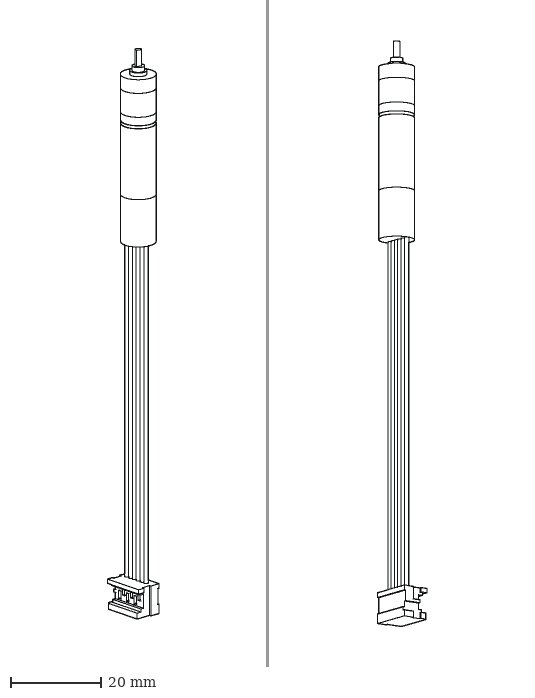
import cadquery as cq

total_height = 131.24
connector_height = 7.0

shaft_diameter = 1.5
shaft_flat_offset = 0.45
bearing_diameter = 2.8
collar_diameter = 3.8
bearing_top = total_height - 3.8
collar_top = total_height - 4.9
motor_top = total_height - 5.75

motor_diameter = 8.0
section_diameter = 7.96
groove_diameter = 7.8
gearhead_cap_length = 3.2
gearhead_length = 5.6
adapter_length = 2.0
groove_length = 0.7
motor_length = 16.6
encoder_length = 11.1
motor_bottom = motor_top - (
    gearhead_cap_length + gearhead_length + adapter_length + groove_length + motor_length + encoder_length
)

wire_count = 6
wire_pitch = 1.25
wire_diameter = 1.0
wire_row_x = -0.35
wire_row_y = -0.2

connector_angle = 22.5
housing_width = 10.2
housing_back = 1.58
housing_front = -4.65
web_front = -2.7
bottom_step_front = -3.5
top_step_front = -3.8
bottom_plate_top = 1.4
bottom_step_top = 2.1
top_step_bottom = 5.4
top_plate_bottom = 6.0
plate_corner_chamfer = 0.4

back_step_depth = 0.35
back_step_bottom = 2.2
back_step_top = 5.9

end_recess_depth = 0.5
waist_top = 3.5
end_rib_top = 4.2
end_notch_back = -0.9
end_notch_front = -3.0

slot_width = 0.7
slot_depth = 1.6
low_slot_bottom = 2.4
high_slot_bottom = 3.5
slot_height = 1.9


def cylinder(diameter, bottom, top):
    return cq.Workplane("XY").workplane(offset=bottom).circle(diameter / 2).extrude(top - bottom)


def block(x_min, x_max, y_min, y_max, z_min, z_max):
    size = (x_max - x_min, y_max - y_min, z_max - z_min)
    return cq.Workplane("XY").box(*size, centered=False).translate((x_min, y_min, z_min))


def make_shaft():
    radius = shaft_diameter / 2
    shaft = cylinder(shaft_diameter, motor_top, total_height)
    flat = block(shaft_flat_offset, radius, -radius, radius, bearing_top, total_height)
    bearing = cylinder(bearing_diameter, motor_top, bearing_top)
    collar = cylinder(collar_diameter, motor_top, collar_top)
    return shaft.cut(flat).union(bearing).union(collar)


def make_motor():
    sections = [
        (motor_diameter, gearhead_cap_length),
        (section_diameter, gearhead_length),
        (motor_diameter, adapter_length),
        (groove_diameter, groove_length),
        (motor_diameter, motor_length),
        (section_diameter, encoder_length),
    ]
    top = motor_top
    body = None
    for diameter, length in sections:
        section = cylinder(diameter, top - length, top)
        body = section if body is None else body.union(section)
        top -= length
    return body


def row_position(index):
    return (index - (wire_count - 1) / 2) * wire_pitch


def make_wires():
    centres = [(row_position(i) + wire_row_x, wire_row_y) for i in range(wire_count)]
    return (
        cq.Workplane("XY")
        .workplane(offset=connector_height)
        .pushPoints(centres)
        .circle(wire_diameter / 2)
        .extrude(motor_bottom - connector_height)
    )


def make_housing():
    profile = [
        (housing_back, 0),
        (housing_front, 0),
        (housing_front, bottom_plate_top),
        (bottom_step_front, bottom_plate_top),
        (bottom_step_front, bottom_step_top),
        (web_front, bottom_step_top),
        (web_front, top_step_bottom),
        (top_step_front, top_step_bottom),
        (top_step_front, top_plate_bottom),
        (housing_front, top_plate_bottom),
        (housing_front, connector_height),
        (housing_back, connector_height),
    ]
    housing = cq.Workplane("YZ").polyline(profile).close().extrude(housing_width / 2, both=True)
    bottom_left_corner = housing.faces("<X").edges("|Z and <Y").edges("<Z")
    return bottom_left_corner.chamfer(plate_corner_chamfer)


def cut_back_step(housing):
    half = housing_width / 2
    step_floor = housing_back - back_step_depth
    return housing.cut(block(-half, half, step_floor, housing_back, back_step_bottom, back_step_top))


def cut_left_end(housing):
    outer = -housing_width / 2
    inner = outer + end_recess_depth
    waist = block(outer, inner, housing_front, housing_back, bottom_plate_top, waist_top)
    pocket = block(outer, inner, top_step_front, end_notch_back, end_rib_top, top_plate_bottom)
    top_notch = block(outer, inner, end_notch_front, end_notch_back, end_rib_top, connector_height)
    bottom_notch = block(outer, inner, end_notch_front, end_notch_back, 0, bottom_plate_top)
    return housing.cut(waist).cut(pocket).cut(top_notch).cut(bottom_notch)


def cut_right_end(housing):
    outer = housing_width / 2
    inner = outer - end_recess_depth
    pocket = block(inner, outer, housing_front, end_notch_back, 0, top_plate_bottom)
    notch = block(inner, outer, end_notch_front, end_notch_back, top_plate_bottom, connector_height)
    return housing.cut(pocket).cut(notch)


def cut_contact_slots(housing):
    for i in range(wire_count):
        left = row_position(i) - slot_width / 2
        bottom = low_slot_bottom if i % 2 == 0 else high_slot_bottom
        slot = block(
            left, left + slot_width, web_front, web_front + slot_depth, bottom, bottom + slot_height
        )
        housing = housing.cut(slot)
    return housing


def make_connector():
    housing = make_housing()
    for cut_feature in (cut_back_step, cut_left_end, cut_right_end, cut_contact_slots):
        housing = cut_feature(housing)
    return housing


harness = make_connector().union(make_wires()).rotate((0, 0, 0), (0, 0, 1), connector_angle)
result = make_motor().union(make_shaft()).union(harness)